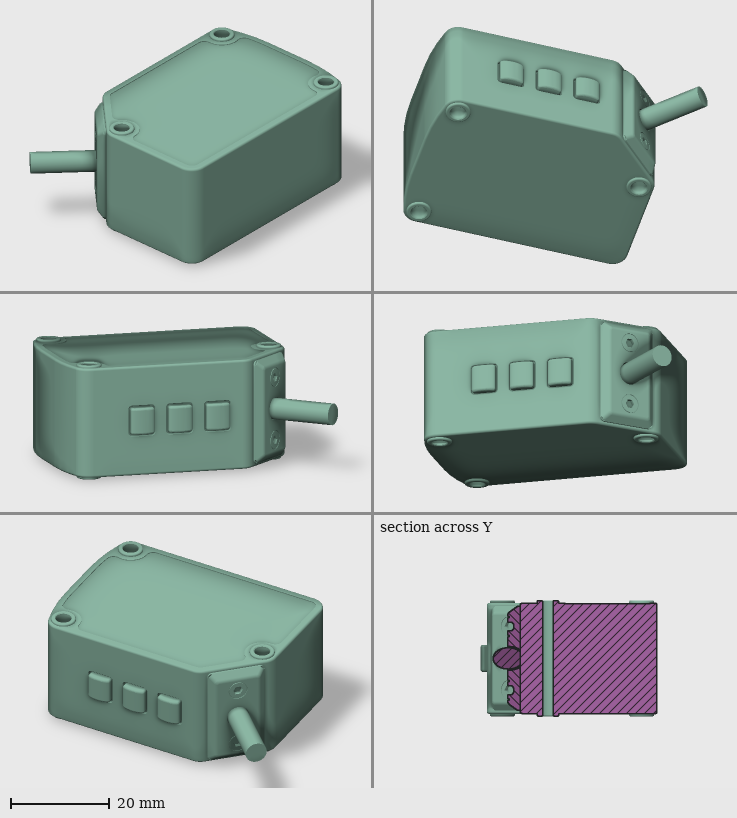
import cadquery as cq
import math

width = 34.5
length = 48.55
height = 22.5
corner_radius = 3.15
rim_fillet = 0.5
crown_flat = 10.0
crown_radius = 35.0
bevel_reach = 12.35

recess_inset = 1.5
recess_depth = 0.15
recess_boss_radius = 3.65
recess_fillet = 1.5

bushing_radius = 2.55
bushing_height = 0.5
bushing_fillet = 0.35
bore_radius = 1.6
bore_chamfer = 0.15

button_count = 3
button_pitch = 8.0
button_middle_y = 25.8
button_width = 4.9
button_height = 5.5
button_shoulder = 0.5
button_rise = 1.25
button_flat = 0.35
button_fillet = 0.5
moat_gap = 0.45
moat_depth = 0.5
moat_corner_radius = 0.85
moat_lip_chamfer = 0.15
lip_angle = 45

gland_width = 12.05
gland_height = 21.2
gland_thickness = 1.75
gland_chamfer = 1.45
gland_corner_fillet = 1.0
gland_top_fillet = 1.0
screw_offset = 6.45
screw_radius = 2.0
screw_gap = 0.15
screw_gap_depth = 0.15
hex_sides = 6
hex_flats = 1.7
hex_turn = 30
hex_depth = 0.85

cable_radius = 2.2
cable_length = 15.05
cable_clearance = 0.15

crown_center = ((width - crown_flat) / 2, length - crown_radius)
center_run = crown_center[0] - corner_radius
center_rise = math.sqrt((crown_radius - corner_radius) ** 2 - center_run ** 2)
shoulder_y = crown_center[1] + center_rise
crown_stretch = crown_radius / (crown_radius - corner_radius)
crown_end = (
    crown_center[0] - center_run * crown_stretch,
    crown_center[1] + center_rise * crown_stretch,
)

bevel_touch = corner_radius * (1 - math.sqrt(0.5))
bevel_far = bevel_reach - corner_radius * math.sqrt(0.5)
bevel_middle = (bevel_touch + bevel_far) / 2
bevel_plane = cq.Plane(origin=(bevel_middle, bevel_middle, 0), xDir=(1, -1, 0), normal=(-1, -1, 0))

bushing_centers = [
    (corner_radius, shoulder_y),
    (width - corner_radius, shoulder_y),
    (bevel_reach, corner_radius),
]
screw_centers = [(0, -screw_offset), (0, screw_offset)]
top_z = height / 2


def housing_outline(z):
    """Closed outline of the housing in the plane at height z."""
    return (
        cq.Workplane("XY", origin=(0, 0, z))
        .moveTo(0, bevel_reach)
        .lineTo(0, shoulder_y)
        .tangentArcPoint(crown_end, relative=False)
        .tangentArcPoint((crown_center[0], length), relative=False)
        .lineTo(width - crown_center[0], length)
        .tangentArcPoint((width - crown_end[0], crown_end[1]), relative=False)
        .tangentArcPoint((width, shoulder_y), relative=False)
        .lineTo(width, corner_radius)
        .tangentArcPoint((width - corner_radius, 0), relative=False)
        .lineTo(bevel_reach, 0)
        .tangentArcPoint((bevel_far, bevel_touch), relative=False)
        .lineTo(bevel_touch, bevel_far)
        .tangentArcPoint((0, bevel_reach), relative=False)
        .close()
    )


def make_shell():
    """Block with rounded top and bottom rims."""
    return housing_outline(-top_z).extrude(height).faces("<Z or >Z").edges().fillet(rim_fillet)


def make_label_recess():
    """Shallow cutter inset from the outline, with a rounded notch at each bushing."""
    floor_z = top_z - recess_depth
    panel = housing_outline(floor_z).offset2D(-recess_inset).extrude(recess_depth)
    bosses = (
        cq.Workplane("XY", origin=(0, 0, floor_z))
        .pushPoints(bushing_centers)
        .circle(recess_boss_radius)
        .extrude(recess_depth)
    )
    panel = panel.cut(bosses)
    tolerance = 0.005

    def on_boss(edge):
        """True for the upright edges where a notch cuts the outline."""
        x, y, _ = edge.Center().toTuple()
        return any(
            abs(math.hypot(x - cx, y - cy) - recess_boss_radius) < tolerance for cx, cy in bushing_centers
        )

    notch_edges = [edge for edge in panel.edges("|Z").vals() if on_boss(edge)]
    return panel.newObject(notch_edges).fillet(recess_fillet)


def make_bushing(x, y):
    """Sleeve that stands out of both faces of the housing."""
    sleeve_length = height + 2 * bushing_height
    sleeve = cq.Workplane("XY").circle(bushing_radius).extrude(sleeve_length / 2, both=True)
    sleeve = sleeve.faces("<Z or >Z").edges().fillet(bushing_fillet)
    return sleeve.translate((x, y, 0))


def make_bore(x, y):
    """Through hole of a bushing, with chamfered mouths."""
    half_length = top_z + bushing_height
    mouth_radius = bore_radius + bore_chamfer
    profile = [
        (0, -half_length),
        (mouth_radius, -half_length),
        (bore_radius, -half_length + bore_chamfer),
        (bore_radius, half_length - bore_chamfer),
        (mouth_radius, half_length),
        (0, half_length),
    ]
    bore = cq.Workplane("XZ").polyline(profile).close().revolve(360, (0, 0, 0), (0, 1, 0))
    return bore.translate((x, y, 0))


def moat_section(y, gap, corner_radius):
    """Rounded rectangle on the -X wall, wider than a button by the gap on every side."""
    return (
        cq.Workplane("YZ", origin=(0, y, 0))
        .sketch()
        .rect(button_width + 2 * gap, button_height + 2 * gap)
        .vertices()
        .fillet(corner_radius)
        .finalize()
    )


def make_moat(y):
    """Pocket around one button, with a chamfered lip at the wall."""
    lip = moat_section(y, moat_gap, moat_corner_radius).extrude(moat_lip_chamfer, taper=lip_angle)
    floor_gap = moat_gap - moat_lip_chamfer
    pocket = moat_section(y, floor_gap, moat_corner_radius - moat_lip_chamfer).extrude(moat_depth)
    return lip.union(pocket)


def make_button(y):
    """Domed push button that rises from the floor of its pocket."""
    half_width = button_width / 2
    half_flat = button_flat / 2
    dome_rise = button_rise - button_shoulder
    dome_run = half_width - half_flat
    button = (
        cq.Workplane("XY", origin=(0, y, -button_height / 2))
        .moveTo(-button_shoulder, -half_width)
        .lineTo(moat_depth, -half_width)
        .lineTo(moat_depth, half_width)
        .lineTo(-button_shoulder, half_width)
        .ellipseArc(dome_rise, dome_run, 90, 180)
        .lineTo(-button_rise, -half_flat)
        .ellipseArc(dome_rise, dome_run, 180, 270)
        .close()
        .extrude(button_height)
    )
    return button.faces("<Z or >Z").edges("<X").fillet(button_fillet)


def make_housing():
    """Housing with its recess, bushings and buttons as one solid."""
    body = make_shell().cut(make_label_recess())
    for x, y in bushing_centers:
        body = body.union(make_bushing(x, y)).cut(make_bore(x, y))
    for index in range(button_count):
        y = button_middle_y + (index - (button_count - 1) / 2) * button_pitch
        body = body.cut(make_moat(y)).union(make_button(y))
    return body.solids()


def cut_screw_heads(plate):
    """Ring groove and hexagon socket of each flush screw head."""
    rings = (
        cq.Workplane("XY", origin=(0, 0, gland_thickness))
        .pushPoints(screw_centers)
        .circle(screw_radius)
        .circle(screw_radius - screw_gap)
        .extrude(-screw_gap_depth)
    )
    plate = plate.cut(rings)
    socket = (
        cq.Workplane("XY", origin=(0, 0, gland_thickness))
        .polygon(hex_sides, hex_flats, circumscribed=True)
        .extrude(-hex_depth)
        .rotate((0, 0, 0), (0, 0, 1), hex_turn)
    )
    for x, y in screw_centers:
        plate = plate.cut(socket.translate((x, y, 0)))
    return plate


def make_gland():
    """Chamfered plate that lies on the bevel; built flat, then placed with its base on the bevel."""
    plate = cq.Workplane("XY").rect(gland_width, gland_height).extrude(gland_thickness)
    plate = plate.faces(">Z").chamfer(gland_chamfer)
    plate = plate.edges("not #Z").fillet(gland_corner_fillet)
    plate = plate.faces(">Z").edges().fillet(gland_top_fillet)
    plate = cut_screw_heads(plate)
    plate = plate.faces("<Z").workplane().circle(cable_radius + cable_clearance).cutThruAll()
    return cq.Workplane(plate.solids().val().moved(cq.Location(bevel_plane)))


def make_cable():
    """Round cable that passes through the gland and ends on the bevel."""
    return cq.Workplane(bevel_plane).circle(cable_radius).extrude(cable_length)


housing = make_housing()
gland = make_gland()
cable = make_cable()
result = cq.Compound.makeCompound([housing.val(), gland.val(), cable.val()])